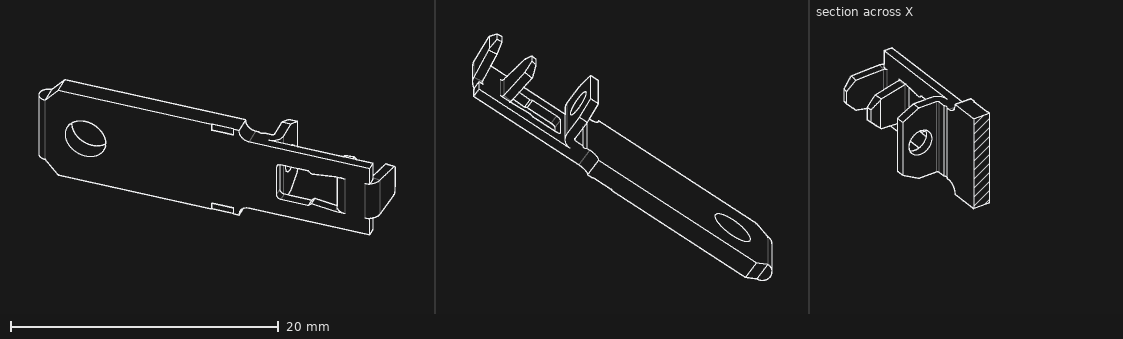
import cadquery as cq
import math


LENGTH = 27.38
DEPTH = 4.62
WIDTH = 7.92
SHEET = 0.72

FOLD_WIDTH = 5.54
CHAMFER_END_X = 1.76
SHOULDER_X = 16.16
NECK_WIDTH = 6.2
SHOULDER_RADIUS = 0.8
FRONT_LEAF_END_X = 26.56
BLADE_HOLE_X = 3.93
BLADE_HOLE_DIAMETER = 3.22

COIN_START_X = 13.98
COIN_END_X = 15.7
COIN_WIDTH = 0.55
COIN_DEPTH = 0.05

TAB_OUTER_X = 19.12
TAB_INNER_RADIUS = 0.13
TAB_TOP_WIDTH = 4.66
TAB_CHAMFER_HEIGHT = 1.45
TAB_HOLE_DIAMETER = 2.06
TAB_HOLE_Y = 3.02
GROOVE_X = 17.4
GROOVE_WIDTH = 0.4
GROOVE_DEPTH = 0.1

LEG_LEAN = 7.0
LEG_THICKNESS = 0.72
LEG_INNER_RADIUS = 0.18
LEG_ROOT_WIDTH = 3.22
LEG_SIDE_TAPER = 7.0
LEG_TAPER_LENGTH = 2.35
LEG_TIP_LENGTH = 0.78
BARB_SETBACK = 0.1
TIP_THICKNESS = 0.43
LEG_PITCH_AT_ROOT = 1.6

WINDOW_START_X = 19.14
WINDOW_CORNER_RADIUS = 0.35
WINDOW_STEP_START_X = 21.68
WINDOW_STEP_END_X = 21.92

BLADE_DEPTH = 2 * SHEET
LEG_OUTER_RADIUS = LEG_INNER_RADIUS + LEG_THICKNESS
LEG_BEND_ANGLE = 90 - LEG_LEAN
BARB_LENGTH = LEG_TAPER_LENGTH + BARB_SETBACK
LEG_LENGTH = LEG_TAPER_LENGTH + LEG_TIP_LENGTH
SIDE_SLOPE = math.tan(math.radians(LEG_SIDE_TAPER))
LEAN_SIN = math.sin(math.radians(LEG_LEAN))
LEAN_COS = math.cos(math.radians(LEG_LEAN))
LEG_REACH = LEG_OUTER_RADIUS * LEAN_COS + BARB_LENGTH * LEAN_SIN
RIGHT_ROOT_X = LENGTH - LEG_REACH
LEFT_ROOT_X = RIGHT_ROOT_X - LEG_PITCH_AT_ROOT
CLIP_CENTRE_X = (LEFT_ROOT_X + RIGHT_ROOT_X) / 2


def extrude_in_y(outline, y_start, y_end):
    """Extrude an outline drawn in X and Z between two Y positions (XZ faces -Y)."""
    return outline.extrude(y_start - y_end).translate((0, y_start, 0))


def box_between(low, high):
    """Box given by two opposite corners."""
    size = [b - a for a, b in zip(low, high)]
    return cq.Workplane("XY").box(*size, centered=False).translate(low)


def leaf_outline(end_x):
    """Flat leaf: chamfered at the fold, then stepped down to the neck by hollow shoulders."""
    fold_z = FOLD_WIDTH / 2
    edge_z = WIDTH / 2
    neck_z = NECK_WIDTH / 2
    arc_start_z = neck_z + SHOULDER_RADIUS
    arc_mid = SHOULDER_RADIUS * (1 - math.sqrt(0.5))
    neck_x = SHOULDER_X + SHOULDER_RADIUS
    return (
        cq.Workplane("XZ")
        .moveTo(SHEET, -fold_z)
        .lineTo(CHAMFER_END_X, -edge_z)
        .lineTo(SHOULDER_X, -edge_z)
        .lineTo(SHOULDER_X, -arc_start_z)
        .threePointArc((SHOULDER_X + arc_mid, -neck_z - arc_mid), (neck_x, -neck_z))
        .lineTo(end_x, -neck_z)
        .lineTo(end_x, neck_z)
        .lineTo(neck_x, neck_z)
        .threePointArc((SHOULDER_X + arc_mid, neck_z + arc_mid), (SHOULDER_X, arc_start_z))
        .lineTo(SHOULDER_X, edge_z)
        .lineTo(CHAMFER_END_X, edge_z)
        .lineTo(SHEET, fold_z)
        .close()
    )


def fold():
    """Half-round fold joining the two leaves."""
    return (
        cq.Workplane("XY")
        .moveTo(SHEET, 0)
        .threePointArc((0, SHEET), (SHEET, BLADE_DEPTH))
        .close()
        .extrude(FOLD_WIDTH / 2, both=True)
    )


def upright_tab():
    """Bend and upright tab at the end of the back leaf, with chamfered top and a hole."""
    inner_x = TAB_OUTER_X - SHEET
    bend_x = inner_x - TAB_INNER_RADIUS
    bend_y = BLADE_DEPTH + TAB_INNER_RADIUS
    outer_radius = TAB_INNER_RADIUS + SHEET
    diagonal = math.sqrt(0.5)
    tab = (
        cq.Workplane("XY")
        .moveTo(bend_x, SHEET)
        .threePointArc(
            (bend_x + outer_radius * diagonal, bend_y - outer_radius * diagonal),
            (TAB_OUTER_X, bend_y),
        )
        .lineTo(TAB_OUTER_X, DEPTH)
        .lineTo(inner_x, DEPTH)
        .lineTo(inner_x, bend_y)
        .threePointArc(
            (bend_x + TAB_INNER_RADIUS * diagonal, bend_y - TAB_INNER_RADIUS * diagonal),
            (bend_x, BLADE_DEPTH),
        )
        .close()
        .extrude(NECK_WIDTH / 2, both=True)
    )
    chamfer_y = DEPTH - TAB_CHAMFER_HEIGHT
    face_shape = (
        cq.Workplane("YZ")
        .polyline([
            (0, -NECK_WIDTH / 2),
            (chamfer_y, -NECK_WIDTH / 2),
            (DEPTH, -TAB_TOP_WIDTH / 2),
            (DEPTH, TAB_TOP_WIDTH / 2),
            (chamfer_y, NECK_WIDTH / 2),
            (0, NECK_WIDTH / 2),
        ])
        .close()
        .extrude(LENGTH)
    )
    hole = (
        cq.Workplane("YZ")
        .center(TAB_HOLE_Y, 0)
        .circle(TAB_HOLE_DIAMETER / 2)
        .extrude(LENGTH)
    )
    return tab.intersect(face_shape).cut(hole)


def bend_groove():
    """Shallow round-bottomed groove across the back leaf, next to the tab."""
    half = GROOVE_WIDTH / 2
    return (
        cq.Workplane("XY")
        .moveTo(GROOVE_X - half, BLADE_DEPTH)
        .threePointArc((GROOVE_X, BLADE_DEPTH - GROOVE_DEPTH), (GROOVE_X + half, BLADE_DEPTH))
        .close()
        .extrude(WIDTH, both=True)
    )


def right_leg():
    """Clip leg leaning toward +X: a bend and a tapered leg with a barbed, pointed tip."""
    barb_profile = (
        cq.Workplane("XY")
        .polyline([
            (-LEG_THICKNESS, 0),
            (0, 0),
            (0, BARB_LENGTH),
            (TIP_THICKNESS - LEG_THICKNESS, LEG_LENGTH),
            (-LEG_THICKNESS, LEG_LENGTH),
        ])
        .close()
        .extrude(LEG_ROOT_WIDTH, both=True)
    )
    root_z = LEG_ROOT_WIDTH / 2
    taper_z = root_z - LEG_TAPER_LENGTH * SIDE_SLOPE
    tip_z = taper_z - LEG_TIP_LENGTH
    face_shape = (
        cq.Workplane("YZ")
        .polyline([
            (0, -root_z),
            (LEG_TAPER_LENGTH, -taper_z),
            (LEG_LENGTH, -tip_z),
            (LEG_LENGTH, tip_z),
            (LEG_TAPER_LENGTH, taper_z),
            (0, root_z),
        ])
        .close()
        .extrude(LEG_THICKNESS, both=True)
    )
    leg = (
        barb_profile.intersect(face_shape)
        .translate((LEG_OUTER_RADIUS, 0, 0))
        .rotate((0, 0, 0), (0, 0, 1), -LEG_LEAN)
    )
    half_angle = math.radians(LEG_BEND_ANGLE / 2)

    def bend_point(radius, angle):
        return (radius * math.sin(angle), -radius * math.cos(angle))

    bend = (
        cq.Workplane("XY")
        .moveTo(*bend_point(LEG_OUTER_RADIUS, 0))
        .threePointArc(
            bend_point(LEG_OUTER_RADIUS, half_angle),
            bend_point(LEG_OUTER_RADIUS, 2 * half_angle),
        )
        .lineTo(*bend_point(LEG_INNER_RADIUS, 2 * half_angle))
        .threePointArc(
            bend_point(LEG_INNER_RADIUS, half_angle),
            bend_point(LEG_INNER_RADIUS, 0),
        )
        .close()
        .extrude(LEG_ROOT_WIDTH / 2, both=True)
    )
    return bend.union(leg).translate((RIGHT_ROOT_X, LEG_OUTER_RADIUS, 0))


def window():
    """Opening left by the left leg, following the leg's taper up to its root."""
    half = LEG_ROOT_WIDTH / 2
    bend_length = (LEG_INNER_RADIUS + LEG_THICKNESS / 2) * math.radians(LEG_BEND_ANGLE)
    taper_x = LEFT_ROOT_X - bend_length
    step_z = half - (taper_x - WINDOW_STEP_END_X) * SIDE_SLOPE
    outline = (
        cq.Workplane("XZ")
        .polyline([
            (WINDOW_START_X, -half),
            (WINDOW_STEP_START_X, -half),
            (WINDOW_STEP_END_X, -step_z),
            (taper_x, -half),
            (LEFT_ROOT_X, -half),
            (LEFT_ROOT_X, half),
            (taper_x, half),
            (WINDOW_STEP_END_X, step_z),
            (WINDOW_STEP_START_X, half),
            (WINDOW_START_X, half),
        ])
        .close()
    )
    opening = extrude_in_y(outline, 0, SHEET)
    return opening.edges("|Y and <X").fillet(WINDOW_CORNER_RADIUS)


def end_notch():
    """Opening left by the right leg at the end of the front leaf."""
    half = LEG_ROOT_WIDTH / 2
    return box_between((RIGHT_ROOT_X, 0, -half), (LENGTH, SHEET, half))


def coined_pad(side):
    """Shallow recess at the upper (side = 1) or lower (side = -1) edge of the front leaf."""
    outer_z = WIDTH / 2
    pad = box_between(
        (COIN_START_X, 0, outer_z - COIN_WIDTH),
        (COIN_END_X, COIN_DEPTH, outer_z),
    )
    return pad if side > 0 else pad.mirror("XY")


def front_leaf():
    """Leaf at Y = 0 with its window, end notch, coined pads and clip legs."""
    leaf = extrude_in_y(leaf_outline(FRONT_LEAF_END_X), 0, SHEET)
    leaf = leaf.cut(window()).cut(end_notch())
    for side in (1, -1):
        leaf = leaf.cut(coined_pad(side))
    leg = right_leg()
    return leaf.union(leg).union(leg.mirror("YZ", (CLIP_CENTRE_X, 0, 0)))


def back_leaf():
    """Leaf folded over the front one, ending in the upright tab."""
    bend_x = TAB_OUTER_X - SHEET - TAB_INNER_RADIUS
    leaf = extrude_in_y(leaf_outline(bend_x), SHEET, BLADE_DEPTH)
    return leaf.union(upright_tab()).cut(bend_groove())


def blade_hole():
    """Round hole through both leaves."""
    outline = cq.Workplane("XZ").center(BLADE_HOLE_X, 0).circle(BLADE_HOLE_DIAMETER / 2)
    return extrude_in_y(outline, 0, BLADE_DEPTH)


result = front_leaf().union(back_leaf()).union(fold()).cut(blade_hole())